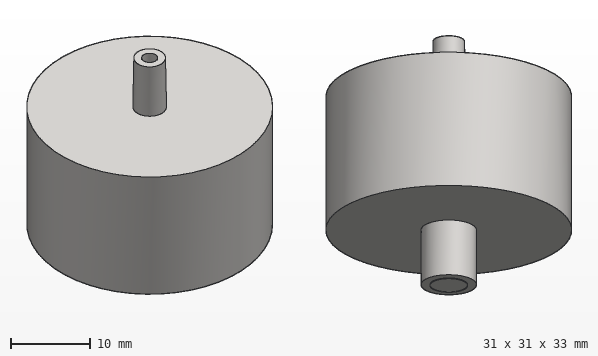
import cadquery as cq

total_height = 33.0
body_diameter = 31.0
stub_length = 7.5
lower_stub_diameter = 7.0
end_pad_diameter = 4.75
end_pad_height = 0.1
upper_stub_base_diameter = 4.25
upper_stub_tip_diameter = 4.0
bore_diameter = 2.0

body_bottom = stub_length
body_top = total_height - stub_length
bore_depth = stub_length


def cylinder(diameter, bottom, top):
    """Upright cylinder on the Z axis between two heights."""
    return cq.Workplane("XY").workplane(offset=bottom).circle(diameter / 2).extrude(top - bottom)


def tapered_stub():
    """Upper stub, narrowing slightly from the body to its tip."""
    return (
        cq.Workplane("XY")
        .workplane(offset=body_top)
        .circle(upper_stub_base_diameter / 2)
        .workplane(offset=stub_length)
        .circle(upper_stub_tip_diameter / 2)
        .loft(ruled=True)
    )


body = cylinder(body_diameter, body_bottom, body_top)
lower_stub = cylinder(lower_stub_diameter, end_pad_height, body_bottom)
end_pad = cylinder(end_pad_diameter, 0, end_pad_height)
bore = cylinder(bore_diameter, total_height - bore_depth, total_height)

result = body.union(lower_stub).union(end_pad).union(tapered_stub()).cut(bore)